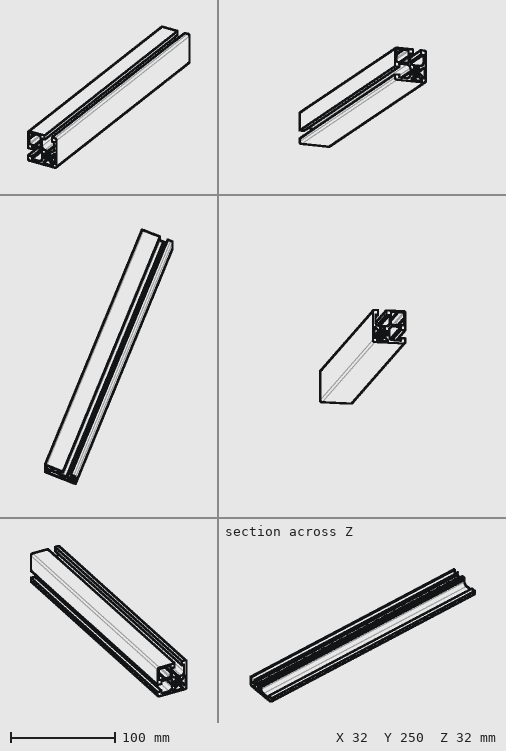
import cadquery as cq
import math

length = 250.0
side = 32.0
half = side / 2
corner_radius = 2.0
wall = 1.5

mouth_center = 6.8
cavity_center = 6.5
slot_opening = 8.0
slot_width = 13.5
slot_floor = 0.2
lip_depth = 4.5
slot_corner_radius = 3.2
groove_width = 0.8
groove_depth = 0.2

chamber_inner = 2.0
chamber_corner_radius = 0.8
rib_height = 0.8
rib_width = 0.8

core_center = cavity_center
core_radius = 3.8
keyway_width = 4.5
keyway_end = 5.2
keyway_neck = 3.0
flare_apex = 2.0
flare_half_width = 5.2


def prism(sketch):
    """Extrude an XZ outline through the whole length, centered on Y."""
    return sketch.extrude(length / 2, both=True)


def box(x_min, x_max, z_min, z_max):
    outline = cq.Workplane("XZ").center((x_min + x_max) / 2, (z_min + z_max) / 2)
    return prism(outline.rect(x_max - x_min, z_max - z_min))


def mirrored(body):
    """Reflect a body across the profile's diagonal, (x, z) -> (-z, -x)."""
    return body.rotate((0, 0, 0), (1, 0, -1), 180)


def t_slot():
    cavity = box(
        cavity_center - slot_width / 2, cavity_center + slot_width / 2, slot_floor, half - lip_depth
    )
    cavity = cavity.edges("|Y and <Z").fillet(slot_corner_radius)
    mouth = box(
        mouth_center - slot_opening / 2, mouth_center + slot_opening / 2, half - 2 * lip_depth, half
    )
    groove = prism(
        cq.Workplane("XZ").center(mouth_center, slot_floor).polyline(
            [(-groove_width / 2, 0), (0, -groove_depth), (groove_width / 2, 0)]
        ).close()
    )
    return cavity.union(mouth).union(groove)


def chamber():
    outer = half - wall
    center = (outer + chamber_inner) / 2
    reach = (outer - chamber_inner) / 2
    hollow = box(-outer, -chamber_inner, chamber_inner, outer)
    hollow = hollow.edges("|Y").fillet(chamber_corner_radius)
    rib = prism(
        cq.Workplane("XZ").center(-center, center).polyline(
            [(-rib_width / 2, reach), (0, reach - rib_height), (rib_width / 2, reach)]
        ).close()
    )
    for turn in range(4):
        hollow = hollow.cut(rib.rotate((-center, 0, center), (-center, 1, center), 90 * turn))
    return hollow


def keyway():
    """Rectangular groove above the core bore."""
    start = math.sqrt(core_radius**2 - (keyway_neck / 2) ** 2)
    return box(
        core_center - keyway_width / 2, core_center + keyway_width / 2,
        start - core_center, keyway_end - core_center,
    )


def flared_pocket():
    """Pocket that widens at 45 degrees from the core bore to the +X wall."""
    pocket_end = half - wall - core_center
    outline = cq.Workplane("XZ").center(core_center, -core_center).polyline([
        (flare_apex, 0),
        (flare_apex + flare_half_width, flare_half_width),
        (pocket_end, flare_half_width),
        (pocket_end, -flare_half_width),
        (flare_apex + flare_half_width, -flare_half_width),
    ])
    return prism(outline.close())


result = box(-half, half, -half, half).edges("|Y").fillet(corner_radius)
result = result.cut(chamber())

core_bore = prism(cq.Workplane("XZ").center(core_center, -core_center).circle(core_radius))
result = result.cut(core_bore)

for opening in (t_slot(), keyway(), flared_pocket()):
    result = result.cut(opening).cut(mirrored(opening))